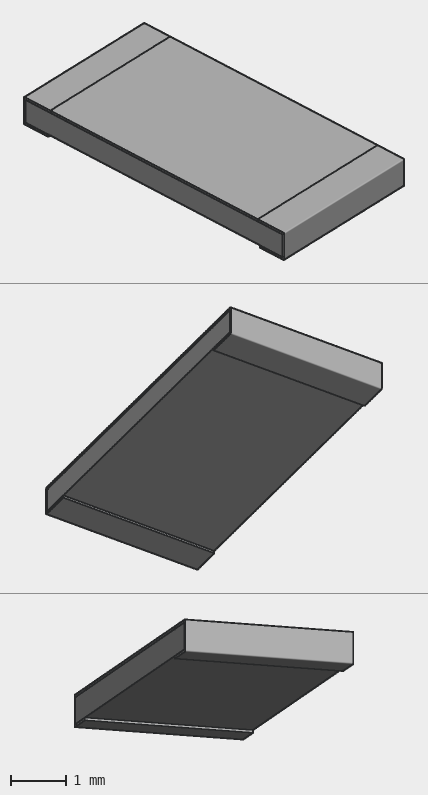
import cadquery as cq

length = 6.4
width = 3.2
height = 0.6

plating = 0.05
top_reach = 0.65
bottom_reach = 0.6

corner_radius = plating / 2

core_length = length - 2 * plating
core_height = height - 2 * plating


def make_core():
    """Plain ceramic slab, centred on the origin."""
    return cq.Workplane("XY").box(core_length, width, core_height)


def make_coating():
    """Thin layer on the core, flush with the terminals on either side."""
    coating_length = length - 2 * top_reach
    coating_middle = core_height / 2 + plating / 2
    return cq.Workplane("XY").box(coating_length, width, plating).translate((0, 0, coating_middle))


def make_terminal(side):
    """C-shaped cap around one end of the core; side is -1 or 1 along X."""
    outer_x = side * length / 2
    inner_x = side * core_length / 2
    top_x = side * (length / 2 - top_reach)
    bottom_x = side * (length / 2 - bottom_reach)
    outer_z = height / 2
    inner_z = core_height / 2
    profile = [
        (top_x, outer_z),
        (outer_x, outer_z),
        (outer_x, -outer_z),
        (bottom_x, -outer_z),
        (bottom_x, -inner_z),
        (inner_x, -inner_z),
        (inner_x, inner_z),
        (top_x, inner_z),
    ]
    cap = cq.Workplane("XZ").polyline(profile).close().extrude(width / 2, both=True)
    outer_face = ">X" if side > 0 else "<X"
    return cap.faces(outer_face).edges("|Y").fillet(corner_radius)


core = make_core()
coating = make_coating()
terminals = [make_terminal(side) for side in (-1, 1)]

result = cq.Compound.makeCompound(
    [core.val(), coating.val(), *[terminal.val() for terminal in terminals]]
)